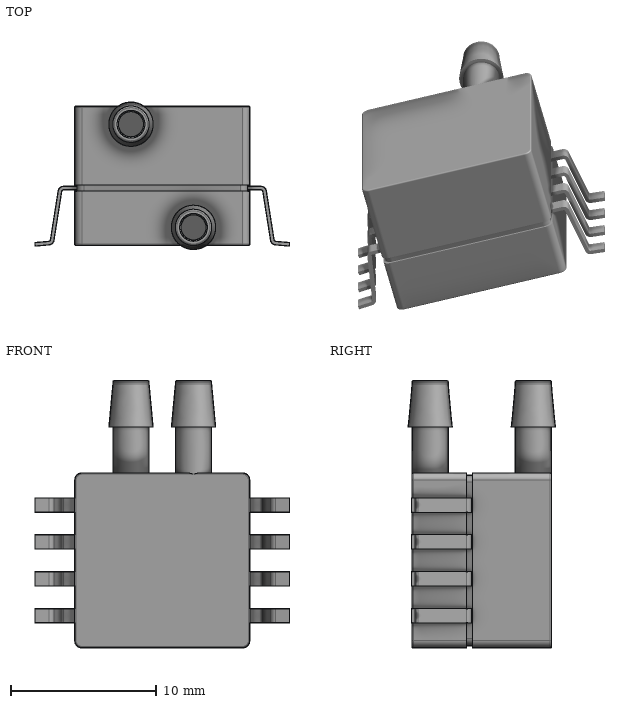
import cadquery as cq
import math

overall_height = 18.41

housing_side = 12.05
housing_depth = 9.61
corner_radius = 0.5
face_edge_radius = 0.1
rear_half_depth = 5.45
groove_width = 0.4
groove_inset = 0.15

nipple_height = overall_height - housing_side
nipple_spacing_x = 4.3
shank_diameter = 2.5
barb_diameter = 3.05
barb_height = 3.2
tip_band_height = 0.24
tip_radius = 0.11
bore_diameter = 1.73
bore_chamfer = 0.1

lead_count = 4
lead_pitch = 2.54
lead_width = 1.0
lead_thickness = 0.25
lead_embed = 0.37
lead_bend_radius = 0.25
lead_span = 17.56
shoulder_x = 7.01
heel_y = -4.62
leg_lean = math.radians(9)
foot_slope = math.radians(5)

half_side = housing_side / 2
half_depth = housing_depth / 2
groove_y = half_depth - rear_half_depth - groove_width / 2


def rounded_block(side, y_front, y_back):
    """Square block with rounded corners, running along Y."""
    block = cq.Workplane("XZ", origin=(0, y_back, 0)).rect(side, side).extrude(y_back - y_front)
    return block.edges("|Y").fillet(corner_radius)


def housing():
    groove_back = groove_y + groove_width / 2
    groove_front = groove_y - groove_width / 2
    rear = rounded_block(housing_side, groove_back, half_depth)
    rear = rear.faces(">Y").edges().fillet(face_edge_radius)
    front = rounded_block(housing_side, -half_depth, groove_front)
    front = front.faces("<Y").edges().fillet(face_edge_radius)
    core = rounded_block(housing_side - 2 * groove_inset, groove_front, groove_back)
    return rear.union(core).union(front)


def nipple():
    """Barbed tube about Z, standing on Z = 0; it reaches slightly below to join the housing."""
    root = -corner_radius
    shank_radius = shank_diameter / 2
    barb_base = nipple_height - barb_height
    profile = (
        cq.Workplane("XZ")
        .moveTo(0, root)
        .lineTo(shank_radius, root)
        .lineTo(shank_radius, barb_base)
        .lineTo(barb_diameter / 2, barb_base)
        .lineTo(shank_radius, nipple_height - tip_band_height)
        .lineTo(shank_radius, nipple_height)
        .lineTo(0, nipple_height)
        .close()
    )
    tube = profile.revolve(360, (0, 0, 0), (0, 1, 0))
    return tube.faces(">Z").edges().fillet(tip_radius)


def nipple_bore():
    """Cutter for the bore, which ends level with the top of the housing."""
    bore_radius = bore_diameter / 2
    return (
        cq.Workplane("XZ")
        .lineTo(bore_radius, 0)
        .lineTo(bore_radius, nipple_height - bore_chamfer)
        .lineTo(bore_radius + bore_chamfer, nipple_height)
        .lineTo(0, nipple_height)
        .close()
        .revolve(360, (0, 0, 0), (0, 1, 0))
    )


def lead():
    """Right-hand lead at Z = 0: a flat strip swept along its bent centreline."""
    start_x = half_side - groove_inset - lead_embed
    heel_x = shoulder_x + (groove_y - heel_y) * math.tan(leg_lean)
    tip_x = lead_span / 2 - lead_thickness / 2 * math.sin(foot_slope)
    tip_y = heel_y - (tip_x - heel_x) * math.tan(foot_slope)
    corners = [(start_x, groove_y), (shoulder_x, groove_y), (heel_x, heel_y), (tip_x, tip_y)]
    centreline = cq.Workplane("XY").polyline(corners).wire().val().fillet(lead_bend_radius)
    section = cq.Workplane("YZ", origin=(start_x, groove_y, 0)).rect(lead_thickness, lead_width)
    return section.sweep(cq.Workplane(centreline))


result = housing()

nipple_x = nipple_spacing_x / 2
nipple_y = half_depth - shank_diameter / 2
for position in [(-nipple_x, nipple_y, half_side), (nipple_x, -nipple_y, half_side)]:
    result = result.union(nipple().translate(position)).cut(nipple_bore().translate(position))

right_lead = lead()
left_lead = right_lead.mirror("YZ")
for index in range(lead_count):
    lead_z = (index - (lead_count - 1) / 2) * lead_pitch
    for side_lead in (right_lead, left_lead):
        result = result.union(side_lead.translate((0, 0, lead_z)))